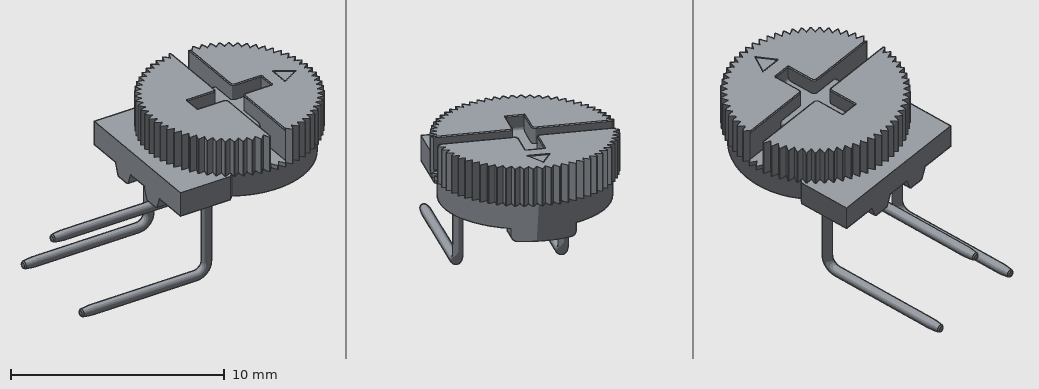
import cadquery as cq
import math


tooth_count = 65
wheel_diameter = 8.89
tooth_depth = 0.3
tooth_tip_width = 0.04
wheel_height = 1.9

slot_width = 0.85
arm_width = 0.9
slot_cut_length = 2 * wheel_diameter
slot_floor = 0.21
hub_top = 1.07
hub_half_width = 2.04
hub_blend = 0.19
cross_corner_radius = 0.19
cross_chamfer = 0.05

pointer_side = 1.1
pointer_base_y = 2.74
pointer_depth = 0.05

housing_radius = 4.12
housing_height = 1.28
block_half_width = 3.8
block_front_y = -5.1
shoulder_y = -2.34
arc_end_y = -2.1

standoff_height = 0.64
front_foot_centre_x = 1.27
front_foot_top_width = 1.34
front_foot_bottom_width = 0.85
front_foot_back_y = -3.3
front_foot_back_radius = 0.71
front_foot_edge_radius = 0.11
rear_foot_half_width = 1.57
rear_foot_front_y = 2.87
rear_foot_edge_radius = 0.25
rear_foot_corner_radius = 0.11
boss_top_radius = 1.23
boss_bottom_radius = 1.04

pin_diameter = 0.5
pin_pitch = 2.54
pin_y = -2.87
pin_tip_y = -9.83
bend_radius = 0.64
side_pin_z = -5.72
middle_pin_z = -2.94
shank_end_y = -9.2
taper_break_y = -9.43
taper_break_diameter = 0.47
tip_bevel_y = -9.76
tip_bevel_diameter = 0.39
tip_diameter = 0.29

housing_bottom = -housing_height
standoff_bottom = housing_bottom - standoff_height


def toothed_disc():
    """Disc with V-shaped teeth; one tooth tip points toward -Y."""
    outer_radius = wheel_diameter / 2
    valley_radius = outer_radius - tooth_depth
    pitch_angle = 2 * math.pi / tooth_count
    half_tip_angle = tooth_tip_width / wheel_diameter
    points = []
    for tooth in range(tooth_count):
        tip_angle = -math.pi / 2 + tooth * pitch_angle
        for radius, angle in (
            (outer_radius, tip_angle - half_tip_angle),
            (outer_radius, tip_angle + half_tip_angle),
            (valley_radius, tip_angle + pitch_angle / 2),
        ):
            points.append((radius * math.cos(angle), radius * math.sin(angle)))
    return cq.Workplane("XY").polyline(points).close().extrude(wheel_height)


def cross_sketch():
    """Slot right across the wheel along X, crossed by a shorter arm along Y."""
    corner_zone = cq.selectors.BoxSelector(
        (-slot_width, -slot_width, -0.14), (slot_width, slot_width, 0.14)
    )
    return (
        cq.Sketch()
        .rect(slot_cut_length, slot_width)
        .rect(arm_width, 2 * hub_half_width)
        .clean()
        .vertices(corner_zone)
        .fillet(cross_corner_radius)
    )


def cross_recess():
    """Material taken out of the wheel: the cross above the hub and the deeper slot ends."""
    recess = (
        cq.Workplane("XY")
        .workplane(offset=hub_top)
        .placeSketch(cross_sketch())
        .extrude(wheel_height - hub_top)
    )
    for side in (">Y", "<Y"):
        recess = recess.faces(side).edges("<Z").fillet(hub_blend)

    hub = (
        cq.Workplane("XZ")
        .rect(2 * hub_half_width, 2 * hub_top)
        .extrude(slot_width / 2, both=True)
        .edges("|Y and >Z")
        .fillet(hub_blend)
    )
    hub_foot_zone = cq.selectors.BoxSelector(
        (-hub_half_width - 0.14, -slot_width, slot_floor - 0.14),
        (hub_half_width + 0.14, slot_width, slot_floor + 0.14),
    )
    deep_slot = (
        cq.Workplane("XY")
        .workplane(offset=slot_floor)
        .rect(slot_cut_length, slot_width)
        .extrude(hub_top - slot_floor)
        .cut(hub)
        .edges(hub_foot_zone)
        .edges("|Y")
        .fillet(hub_blend)
    )
    flare = (
        cq.Workplane("XY")
        .workplane(offset=wheel_height - cross_chamfer)
        .placeSketch(cross_sketch())
        .extrude(cross_chamfer, taper=-45)
    )
    return recess.union(deep_slot).union(flare)


def pointer_recess():
    apex_y = pointer_base_y + pointer_side * math.sin(math.pi / 3)
    return (
        cq.Workplane("XY")
        .workplane(offset=wheel_height - pointer_depth)
        .polyline([(-pointer_side / 2, pointer_base_y), (pointer_side / 2, pointer_base_y), (0, apex_y)])
        .close()
        .extrude(pointer_depth)
    )


def make_thumbwheel():
    return toothed_disc().cut(cross_recess()).cut(pointer_recess())


def housing_plate():
    """Round back, joined to the rectangular pin block by short angled shoulders."""
    arc_end_x = math.sqrt(housing_radius**2 - arc_end_y**2)
    return (
        cq.Workplane("XY")
        .workplane(offset=housing_bottom)
        .moveTo(-block_half_width, block_front_y)
        .lineTo(block_half_width, block_front_y)
        .lineTo(block_half_width, shoulder_y)
        .lineTo(arc_end_x, arc_end_y)
        .threePointArc((0, housing_radius), (-arc_end_x, arc_end_y))
        .lineTo(-block_half_width, shoulder_y)
        .close()
        .extrude(housing_height)
    )


def front_foot(centre_x):
    """Trapezoidal rib flush with the front face, its back end rounded off underneath."""
    top_half = front_foot_top_width / 2
    bottom_half = front_foot_bottom_width / 2
    rib = (
        cq.Workplane("XZ", origin=(centre_x, front_foot_back_y, 0))
        .polyline([
            (-top_half, housing_bottom),
            (top_half, housing_bottom),
            (bottom_half, standoff_bottom),
            (-bottom_half, standoff_bottom),
        ])
        .close()
        .extrude(front_foot_back_y - block_front_y)
    )
    arc_centre_z = standoff_bottom + front_foot_back_radius
    arc_centre_y = front_foot_back_y - math.sqrt(
        front_foot_back_radius**2 - (arc_centre_z - housing_bottom) ** 2
    )
    arc_middle = front_foot_back_radius * math.sqrt(0.5)
    rounded_side = (
        cq.Workplane("YZ", origin=(centre_x, 0, 0))
        .moveTo(front_foot_back_y, housing_bottom)
        .threePointArc(
            (arc_centre_y + arc_middle, arc_centre_z - arc_middle),
            (arc_centre_y, standoff_bottom),
        )
        .lineTo(block_front_y, standoff_bottom)
        .lineTo(block_front_y, housing_bottom)
        .close()
        .extrude(front_foot_top_width, both=True)
    )
    foot = rib.intersect(rounded_side)
    lower_edges = foot.faces("<Z").edges("|Y")
    return lower_edges.fillet(front_foot_edge_radius)


def rear_foot():
    """Bar that follows the round back, with rounded lower edges and front corners."""
    length = 2 * housing_radius
    bar = (
        cq.Workplane("XY")
        .workplane(offset=standoff_bottom)
        .center(0, rear_foot_front_y + length / 2)
        .rect(2 * rear_foot_half_width, length)
        .extrude(standoff_height)
        .edges("|Z and <Y")
        .fillet(rear_foot_corner_radius)
    )
    rounded_across = (
        cq.Workplane("XY")
        .box(2 * rear_foot_half_width, 2 * length, 2 * standoff_height)
        .edges("|Y and <Z")
        .fillet(rear_foot_edge_radius)
        .translate((0, length, standoff_bottom + standoff_height))
    )
    rounded_along = (
        cq.Workplane("XY")
        .box(length, length, 2 * standoff_height)
        .edges("|X and <Z and <Y")
        .fillet(rear_foot_edge_radius)
        .translate((0, rear_foot_front_y + length / 2, standoff_bottom + standoff_height))
    )
    round_back = (
        cq.Workplane("XY")
        .workplane(offset=standoff_bottom)
        .circle(housing_radius)
        .extrude(standoff_height)
    )
    return bar.intersect(rounded_across).intersect(rounded_along).intersect(round_back)


def centre_boss():
    return (
        cq.Workplane("XY")
        .workplane(offset=housing_bottom)
        .circle(boss_top_radius)
        .workplane(offset=-standoff_height)
        .circle(boss_bottom_radius)
        .loft(ruled=True)
    )


def make_housing():
    housing = housing_plate().union(centre_boss()).union(rear_foot())
    for side in (-1, 1):
        housing = housing.union(front_foot(side * front_foot_centre_x))
    return housing


def make_pin(x, axis_z):
    """Round wire from the housing underside, bent forward, with a tapered tip along -Y."""
    bend_end_y = pin_y - bend_radius
    bend_start_z = axis_z + bend_radius
    bend_middle = bend_radius * math.sqrt(0.5)
    path = (
        cq.Workplane("YZ", origin=(x, 0, 0))
        .moveTo(pin_y, housing_bottom)
        .lineTo(pin_y, bend_start_z)
        .threePointArc(
            (bend_end_y + bend_middle, bend_start_z - bend_middle),
            (bend_end_y, axis_z),
        )
        .lineTo(shank_end_y, axis_z)
    )
    wire = (
        cq.Workplane("XY", origin=(x, pin_y, housing_bottom))
        .circle(pin_diameter / 2)
        .sweep(path)
    )
    tip = (
        cq.Workplane("YZ", origin=(x, 0, axis_z))
        .polyline([
            (shank_end_y, 0),
            (shank_end_y, pin_diameter / 2),
            (taper_break_y, taper_break_diameter / 2),
            (tip_bevel_y, tip_bevel_diameter / 2),
            (pin_tip_y, tip_diameter / 2),
            (pin_tip_y, 0),
        ])
        .close()
        .revolve(360, (0, 0, 0), (1, 0, 0))
    )
    return wire.union(tip)


thumbwheel = make_thumbwheel()
housing = make_housing()
pins = []
for x, axis_z in ((-pin_pitch, side_pin_z), (0, middle_pin_z), (pin_pitch, side_pin_z)):
    pins.append(make_pin(x, axis_z).val())

result = cq.Compound.makeCompound([thumbwheel.val(), housing.val(), *pins])